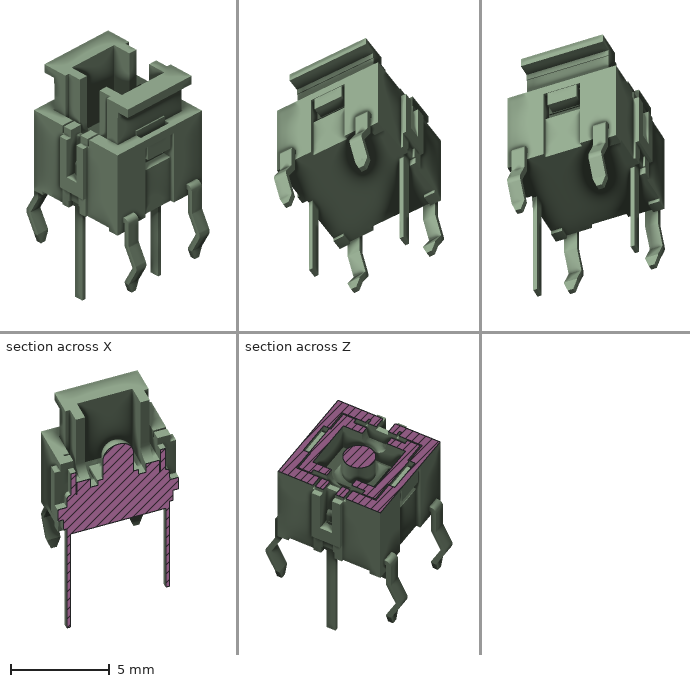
import cadquery as cq
import math


overall_height = 13.4
overall_depth = 6.6

body_side = 6.0
body_top = 4.81
foot_side = 0.62
foot_height = 0.2

cap_top = 7.22
cap_depth = 4.53
neck_width = 4.53
neck_top_width = 4.6
neck_step_z = 6.38
flange_thickness = 0.5
gap_width = 1.42
post_span = 2.99
post_depth = 4.02
cavity_width = 3.62
cavity_depth = 3.02
cavity_floor = 3.07
trough_bottom = 3.65

opening_width = 4.65
opening_depth = 4.58
opening_floor = 2.81

window_width = 2.01
window_top = 4.34
window_recess = 0.24
latch_channel_x = 2.67
strip_x = 2.35
strip_bottom = 3.48
strip_top = 5.07
latch_x = 2.97
latch_width = 1.6
latch_bottom = 3.52

holder_width = 1.68
holder_y = overall_depth / 2
holder_bottom = 1.3
holder_top = 4.34
slot_width = 0.7
slot_bottom = 2.12
slit_width = 0.12
guide_y = 3.12
guide_groove_width = 0.62
pin_shoulder_width = 0.78
pin_shoulder_top = 0.62

led_base_side = 2.25
led_base_height = 0.32
led_radius = 0.85
led_centre_z = 4.66
pin_width = 0.54
pin_inner_y = 2.59
pin_thickness = 0.21
short_pin_end = -5.21
long_pin_end = cap_top - overall_height
head_base = 2.65
head_radius = 0.25
nub_width = 0.3
nub_y = 2.83
nub_top = 2.28

leg_width = 0.71
leg_spacing = 4.49
leg_thickness = 0.3
leg_outer_x = 3.4
leg_top = 0.91
leg_knee_x = 4.0
leg_knee_z = -1.81
leg_knee_radius = 0.4
leg_end = -3.5
leg_tip_width = 0.31
leg_taper_top = -2.95
leg_bend_angle = 28
leg_top_radius = 0.32
leg_elbow_radius = 0.16

face = body_side / 2
pin_outer_y = pin_inner_y + pin_thickness


def box(x0, x1, y0, y1, z0, z1):
    """Box between two opposite corners."""
    return cq.Workplane("XY").box(x1 - x0, y1 - y0, z1 - z0, centered=False).translate((x0, y0, z0))


def centred_box(width, depth, z0, z1):
    """Box centred on the Z axis."""
    return box(-width / 2, width / 2, -depth / 2, depth / 2, z0, z1)


def strip_box(width, y0, y1, z0, z1):
    """Box centred in X, placed freely in Y and Z."""
    return box(-width / 2, width / 2, y0, y1, z0, z1)


def with_opposite(shape):
    """The shape together with its half-turn copy about the Z axis."""
    return shape.union(shape.rotate((0, 0, 0), (0, 0, 1), 180))


def make_housing():
    housing = centred_box(body_side, body_side, 0, body_top)
    foot_gap = body_side - 2 * foot_side
    housing = housing.cut(centred_box(foot_gap, body_side, 0, foot_height))
    housing = housing.cut(centred_box(body_side, foot_gap, 0, foot_height))
    housing = housing.cut(centred_box(opening_width, opening_depth, opening_floor, body_top))

    half = window_width / 2
    recess = box(face - window_recess, face, -half, half, 0, opening_floor)
    window = box(opening_width / 2, face, -half, half, opening_floor, window_top)
    channel = box(opening_width / 2, latch_channel_x, -half, half, opening_floor, body_top)
    return housing.cut(with_opposite(recess.union(window).union(channel)))


def make_cap():
    neck = centred_box(neck_width, cap_depth, opening_floor, cap_top)
    neck_top = centred_box(neck_top_width, cap_depth, neck_step_z, cap_top)
    flange = centred_box(body_side, cap_depth, cap_top - flange_thickness, cap_top)
    cap = neck.union(neck_top).union(flange)

    cap = cap.cut(centred_box(cavity_width, cavity_depth, cavity_floor, cap_top))
    setback = strip_box(post_span, post_depth / 2, cap_depth / 2, trough_bottom, cap_top)
    cap = cap.cut(with_opposite(setback))

    trough_radius = gap_width / 2
    trough_axis_z = trough_bottom + trough_radius
    gap = centred_box(gap_width, cap_depth, trough_axis_z, cap_top)
    trough = (
        cq.Workplane("XZ")
        .center(0, trough_axis_z)
        .circle(trough_radius)
        .extrude(cap_depth / 2, both=True)
    )
    cap = cap.cut(gap).cut(trough)

    mid_wall_x = (neck_width + cavity_width) / 4
    strip = box(mid_wall_x, strip_x, -window_width / 2, window_width / 2, strip_bottom, strip_top)
    latch = box(mid_wall_x, latch_x, -latch_width / 2, latch_width / 2, latch_bottom, window_top)
    return cap.union(with_opposite(strip.union(latch)))


def add_holders(housing):
    frame = strip_box(holder_width, face, holder_y, holder_bottom, holder_top)
    guide = strip_box(holder_width, face, guide_y, foot_height, holder_bottom)
    housing = housing.union(with_opposite(frame.union(guide)))

    groove = strip_box(guide_groove_width, face, guide_y, pin_shoulder_top, holder_bottom)
    shoulder = strip_box(pin_shoulder_width, pin_outer_y, guide_y, foot_height, pin_shoulder_top)
    slot = strip_box(slot_width, pin_inner_y, holder_y, slot_bottom, body_top)
    slot_mouth = strip_box(slot_width, opening_depth / 2, pin_inner_y, holder_top, body_top)
    housing = housing.cut(with_opposite(groove.union(shoulder).union(slot).union(slot_mouth)))

    for y0, y1 in ((-face, -opening_depth / 2), (opening_depth / 2, pin_inner_y)):
        slits = strip_box(holder_width + 2 * slit_width, y0, y1, holder_top, body_top)
        slits = slits.cut(strip_box(holder_width, y0, y1, holder_top, body_top))
        housing = housing.cut(slits)
    return housing


def make_led():
    base_top = cavity_floor + led_base_height
    base = centred_box(led_base_side, led_base_side, cavity_floor, base_top)
    barrel = (
        cq.Workplane("XY")
        .workplane(offset=base_top)
        .circle(led_radius)
        .extrude(led_centre_z - base_top)
    )
    dome = cq.Workplane("XY").sphere(led_radius).translate((0, 0, led_centre_z))
    return base.union(barrel).union(dome)


def make_pin(end_z):
    """Pin on the +Y side, rising to a rounded head inside the holder slot."""
    rounding_axis_y = pin_outer_y - head_radius
    head_top = head_base + math.sqrt(head_radius**2 - (pin_inner_y - rounding_axis_y) ** 2)
    return (
        cq.Workplane("YZ")
        .moveTo(pin_inner_y, end_z)
        .lineTo(pin_outer_y, end_z)
        .lineTo(pin_outer_y, head_base)
        .radiusArc((pin_inner_y, head_top), -head_radius)
        .close()
        .extrude(pin_width / 2, both=True)
    )


def make_leg():
    """Leg on the +X side, centred on Y = 0: a bent strip with a tapered tip."""
    bend = math.radians(leg_bend_angle)
    inner_x = leg_outer_x - leg_thickness
    bend_x = leg_outer_x - leg_top_radius
    bend_z = leg_top - leg_top_radius
    bend_inner_radius = leg_top_radius - leg_thickness
    face_z = bend_z + math.sqrt(leg_top_radius**2 - (bend_x - face) ** 2)
    knee_inner_x = leg_knee_x - leg_thickness / math.cos(bend)
    outer_rise = (leg_knee_x - leg_outer_x) / math.tan(bend)
    inner_rise = (knee_inner_x - inner_x) / math.tan(bend)
    strip = (
        cq.Workplane("XZ")
        .moveTo(face, face_z)
        .radiusArc((leg_outer_x, bend_z), leg_top_radius)
        .lineTo(leg_outer_x, leg_knee_z + outer_rise)
        .lineTo(leg_knee_x, leg_knee_z)
        .lineTo(leg_outer_x, leg_knee_z - outer_rise)
        .lineTo(leg_outer_x, leg_end)
        .lineTo(inner_x, leg_end)
        .lineTo(inner_x, leg_knee_z - inner_rise)
        .lineTo(knee_inner_x, leg_knee_z)
        .lineTo(inner_x, leg_knee_z + inner_rise)
        .lineTo(inner_x, bend_z)
        .radiusArc((bend_x, bend_z + bend_inner_radius), -bend_inner_radius)
        .lineTo(face, bend_z + bend_inner_radius)
        .close()
        .extrude(leg_width / 2, both=True)
        .edges(cq.selectors.NearestToPointSelector((leg_knee_x, 0, leg_knee_z)))
        .fillet(leg_knee_radius)
        .edges(cq.selectors.NearestToPointSelector((leg_outer_x, 0, leg_knee_z + outer_rise)))
        .fillet(leg_elbow_radius)
    )
    taper = (
        cq.Workplane("YZ")
        .moveTo(-leg_width / 2, leg_top)
        .lineTo(leg_width / 2, leg_top)
        .lineTo(leg_width / 2, leg_taper_top)
        .lineTo(leg_tip_width / 2, leg_end)
        .lineTo(-leg_tip_width / 2, leg_end)
        .lineTo(-leg_width / 2, leg_taper_top)
        .close()
        .extrude(leg_knee_x)
    )
    return strip.intersect(taper)


result = add_holders(make_housing()).union(make_cap()).union(make_led())

result = result.union(make_pin(long_pin_end))
result = result.union(make_pin(short_pin_end).mirror("XZ"))
result = result.union(strip_box(nub_width, -nub_y, -pin_inner_y, slot_bottom, nub_top))

leg = make_leg()
for y in (-leg_spacing / 2, leg_spacing / 2):
    result = result.union(with_opposite(leg.translate((0, y, 0))))